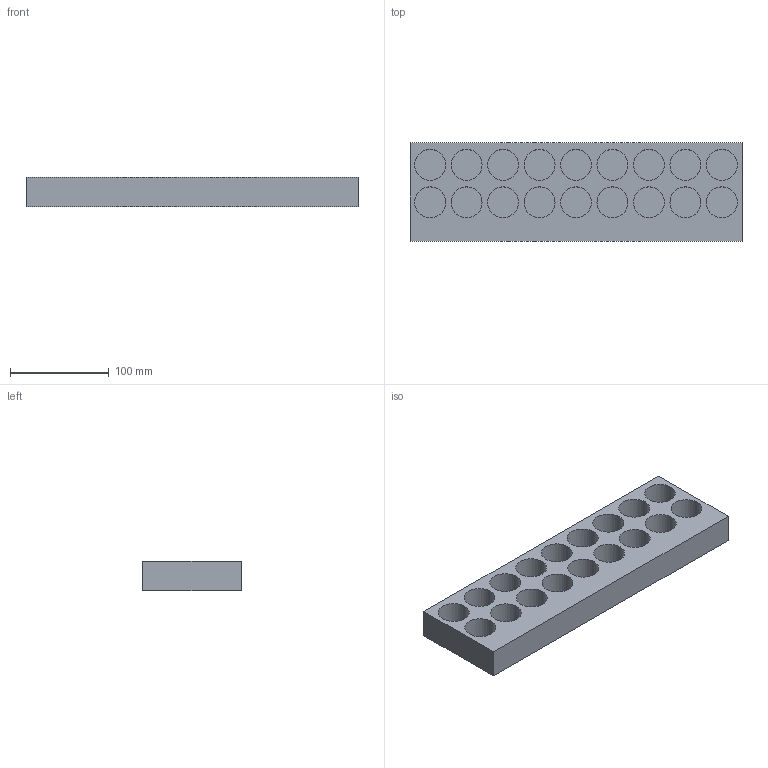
import cadquery as cq

length = 337.0
width = 100.0
height = 30.0

pocket_diameter = 31.4
pocket_floor = 5.0
column_count = 9
row_count = 2
column_pitch = 37.0
row_pitch = 38.0
back_margin = 22.5


def make_block():
    """Plain block with one lower corner at the origin."""
    return cq.Workplane("XY").box(length, width, height, centered=False)


def pocket_centres():
    """Centres of the pockets: columns centred along X, rows counted from the back."""
    first_x = (length - (column_count - 1) * column_pitch) / 2
    rear_y = width - back_margin
    return [
        (first_x + column * column_pitch, rear_y - row * row_pitch)
        for row in range(row_count)
        for column in range(column_count)
    ]


def make_pockets():
    """Flat-bottomed cylinders that leave a floor under every pocket."""
    return (
        cq.Workplane("XY", origin=(0, 0, pocket_floor))
        .pushPoints(pocket_centres())
        .circle(pocket_diameter / 2)
        .extrude(height - pocket_floor)
    )


result = make_block().cut(make_pockets())